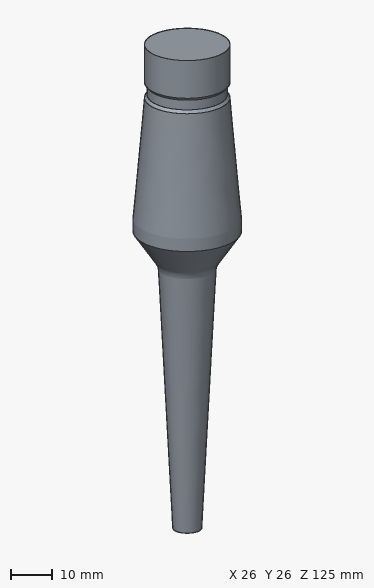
import cadquery as cq

head_diameter = 20.5
neck_diameter = 19.2
body_top_diameter = 20.5
body_diameter = 26.0
shank_top_diameter = 14.0
tip_diameter = 7.0

total_height = 125.0
head_height = 9.8
groove_width = 4.0
groove_side_height = 0.8
shank_length = 68.0
band_bottom = 76.8
band_height = 3.2

blend_radius = 3.2

head_radius = head_diameter / 2
neck_radius = neck_diameter / 2
body_radius = body_diameter / 2
band_top = band_bottom + band_height
head_bottom = total_height - head_height
body_top = head_bottom - groove_width

half_section = [
    (0, 0),
    (tip_diameter / 2, 0),
    (shank_top_diameter / 2, shank_length),
    (body_radius, band_bottom),
    (body_radius, band_top),
    (body_top_diameter / 2, body_top),
    (neck_radius, body_top + groove_side_height),
    (neck_radius, head_bottom - groove_side_height),
    (head_radius, head_bottom),
    (head_radius, total_height),
    (0, total_height),
]

turned_body = cq.Workplane("XZ").polyline(half_section).close().revolve(360, (0, 0, 0), (0, 1, 0))

shank_corner = cq.selectors.NearestToPointSelector((0, 0, shank_length))
result = turned_body.edges("%CIRCLE").edges(shank_corner).fillet(blend_radius)